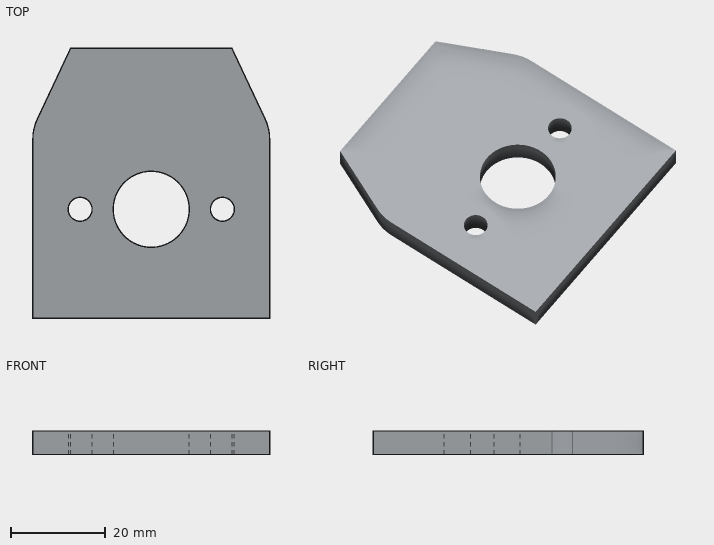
import cadquery as cq

width = 50.0
length = 57.0
thickness = 5.0

end_width = 34.0
taper_length = 17.0
shoulder_radius = 10.0

bore_diameter = 16.0
screw_hole_diameter = 5.0
screw_hole_spacing = 30.0
hole_row_to_base = 23.0

base_y = -hole_row_to_base
end_y = base_y + length
shoulder_y = end_y - taper_length


def make_plate():
    """Flat plate with one tapered end and rounded shoulders."""
    outline = [
        (-width / 2, base_y),
        (width / 2, base_y),
        (width / 2, shoulder_y),
        (end_width / 2, end_y),
        (-end_width / 2, end_y),
        (-width / 2, shoulder_y),
    ]
    plate = cq.Workplane("XY").polyline(outline).close().extrude(thickness)
    for side in (-1, 1):
        shoulder = cq.NearestToPointSelector((side * width / 2, shoulder_y, thickness / 2))
        plate = plate.edges("|Z").edges(shoulder).fillet(shoulder_radius)
    return plate


def cut_holes(plate):
    """Central bore with a screw hole on each side, all through the plate."""
    screw_positions = [(-screw_hole_spacing / 2, 0), (screw_hole_spacing / 2, 0)]
    top = plate.faces(">Z").workplane(origin=(0, 0, thickness))
    bored = top.hole(bore_diameter)
    top = bored.faces(">Z").workplane(origin=(0, 0, thickness))
    return top.pushPoints(screw_positions).hole(screw_hole_diameter)


result = cut_holes(make_plate())